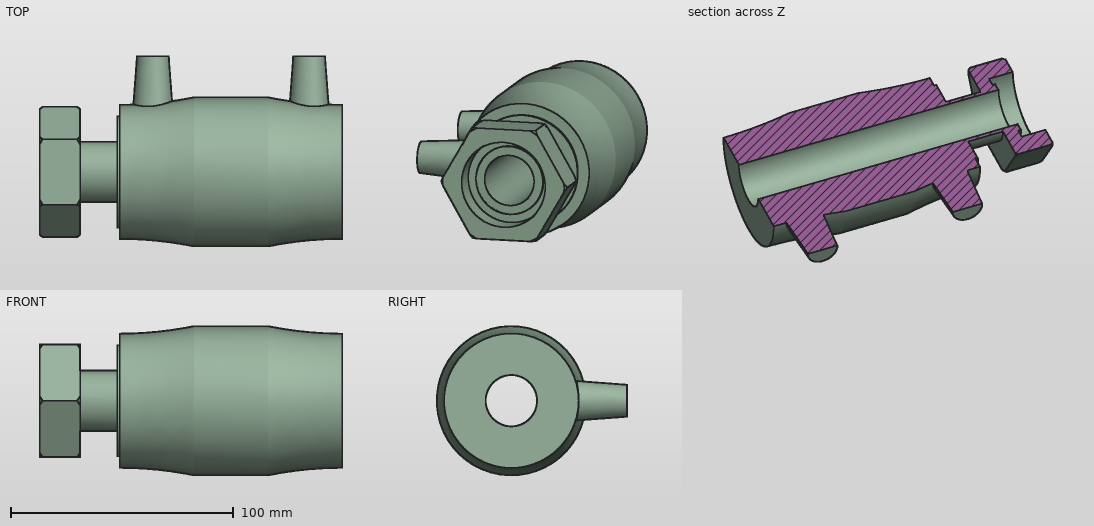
import cadquery as cq
import math

total_length = 136.0
front_x = -total_length / 2
rear_x = total_length / 2
nut_length = 18.2
collar_length = 1.1
body_length = 100.1
body_front_x = rear_x - body_length
collar_front_x = body_front_x - collar_length
section_length = body_length / 3

body_diameter = 67.0
body_end_diameter = 60.4
collar_diameter = 50.0
stem_diameter = 27.2

nut_across_flats = 50.7
nut_across_corners = nut_across_flats / math.cos(math.radians(30))
nut_chamfer_length = 1.4
nut_chamfer_depth = 1.1
nut_bore_diameter = 38.9
nut_bore_depth = 11.4

bore_diameter = 23.0
seat_diameter = 31.1
seat_height = 1.2

pin_reach = 18.5
pin_tip_y = body_diameter / 2 + pin_reach
pin_root_y = 17.7
pin_tip_diameter = 14.4
pin_taper_per_length = 0.15
pin_end_offset = 15.0


def cylinder_x(diameter, start_x, length):
    """Solid cylinder about the X axis."""
    return cq.Workplane("YZ", origin=(start_x, 0, 0)).circle(diameter / 2).extrude(length)


def make_body():
    """Barrel with a straight middle; each end curves in until parallel to the axis."""
    end_radius = body_end_diameter / 2
    middle_radius = body_diameter / 2
    rise = middle_radius - end_radius
    arc_radius = (section_length**2 + rise**2) / (2 * rise)
    mid_x = section_length / 2
    mid_radius = end_radius + arc_radius - math.sqrt(arc_radius**2 - mid_x**2)
    return (
        cq.Workplane("XY")
        .moveTo(body_front_x, 0)
        .lineTo(body_front_x, end_radius)
        .threePointArc(
            (body_front_x + mid_x, mid_radius),
            (body_front_x + section_length, middle_radius),
        )
        .lineTo(rear_x - section_length, middle_radius)
        .threePointArc((rear_x - mid_x, mid_radius), (rear_x, end_radius))
        .lineTo(rear_x, 0)
        .close()
        .revolve(360, (0, 0, 0), (1, 0, 0))
    )


def make_nut():
    """Hexagonal prism whose corners are turned down at both faces."""
    hexagon = (
        cq.Workplane("YZ", origin=(front_x, 0, 0))
        .polygon(6, nut_across_corners)
        .extrude(nut_length)
    )
    outer_radius = nut_across_corners / 2
    face_radius = outer_radius - nut_chamfer_depth
    rear_face_x = front_x + nut_length
    turned_blank = (
        cq.Workplane("XY")
        .moveTo(front_x, 0)
        .lineTo(front_x, face_radius)
        .lineTo(front_x + nut_chamfer_length, outer_radius)
        .lineTo(rear_face_x - nut_chamfer_length, outer_radius)
        .lineTo(rear_face_x, face_radius)
        .lineTo(rear_face_x, 0)
        .close()
        .revolve(360, (0, 0, 0), (1, 0, 0))
    )
    return hexagon.intersect(turned_blank)


def make_pin(center_x):
    """Cone frustum pointing along +Y, rooted inside the barrel."""
    tip_radius = pin_tip_diameter / 2
    length = pin_tip_y - pin_root_y
    root_radius = tip_radius + pin_taper_per_length * length / 2
    cone = cq.Solid.makeCone(
        root_radius, tip_radius, length, cq.Vector(center_x, pin_root_y, 0), cq.Vector(0, 1, 0)
    )
    return cq.Workplane(obj=cone)


result = make_body().union(make_nut())
result = result.union(cylinder_x(collar_diameter, collar_front_x, collar_length))
result = result.union(cylinder_x(stem_diameter, front_x, body_front_x - front_x))
for pin_x in (body_front_x + pin_end_offset, rear_x - pin_end_offset):
    result = result.union(make_pin(pin_x))

result = result.cut(cylinder_x(nut_bore_diameter, front_x, nut_bore_depth))
seat_face_x = front_x + nut_bore_depth - seat_height
result = result.union(cylinder_x(seat_diameter, seat_face_x, seat_height))
result = result.cut(cylinder_x(bore_diameter, front_x, total_length))